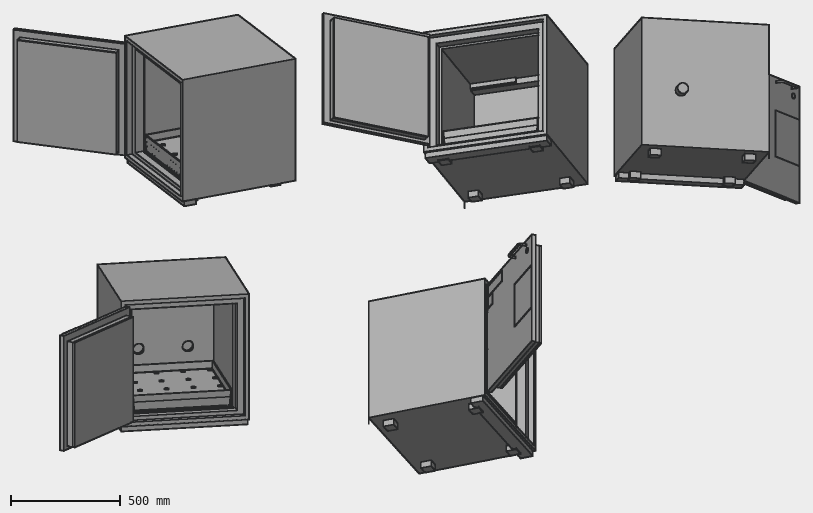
import cadquery as cq
import math

width = 595.0
depth = 575.0
height = 600.0

rebate_inset = 19.0
rebate_depth = 28.0
opening_inset = 51.0
throat_floor = 38.0
throat_end = 71.0
chamber_inset = 62.0
chamber_floor = 45.0
sill_front = 66.0
chamber_back = 532.0

duct_height = 30.0
duct_depth = 51.0
cover_height = 23.0
cover_depth = 10.0
cover_end = 283.0

vent_diameter = 50.0
vent_depth = 20.0
vent_z = 198.0
vent_xs = (183.0, 413.0)

pipe_diameter = 50.0
pipe_length = 45.0
pipe_x = vent_xs[1]
pipe_z = 265.0

foot_size = 50.0
foot_height = 31.0
foot_inset = 77.0
strip_size = 1.0

plinth_side_gap = 4.0
plinth_front = 11.0
plinth_depth = 60.0
plinth_height = 27.0

tub_rim_z = 124.0
tub_rim_inset = 66.0
tub_rim_front = 69.0
tub_rim_back = 528.0
tub_narrowing = 6.0
tub_wall = 5.0
insert_z = 90.0
insert_sheet = 2.0
hole_diameter = 20.0
hole_pitch = 124.0
hole_count_x = 4
hole_count_y = 4
first_hole_x = 508.0
first_hole_y = 128.0

hinge_x = 23.0
hinge_y = -3.0
door_angle = 45
door_length = 537.0
door_plate = 20.0
door_bottom = 27.0
door_top = 575.0
plug_start = 29.0
plug_end = 506.0
plug_bottom = 42.0
plug_top = 543.0
plug_depth = 30.0
panel_thickness = 10.0

label_thickness = 2.0
labels = (
    (11.0, 181.0, 510.0, 564.0),
    (11.0, 67.0, 449.0, 508.0),
    (331.0, 534.0, 200.0, 418.0),
)
lock_diameter = 25.0
lock_along = 482.0
lock_z = 519.0

handle_z = 553.0
handle_diameter = 10.0
handle_start = 339.0
handle_end = 469.0
handle_reach = 34.0
handle_bend = 15.0


def block(x0, x1, y0, y1, z0, z1):
    """A box given by its limits along X, Y and Z."""
    return cq.Workplane("XY").box(x1 - x0, y1 - y0, z1 - z0, centered=False).translate((x0, y0, z0))


def cylinder_along_y(diameter, length, x, y, z):
    """A cylinder that starts at (x, y, z) and runs toward +Y."""
    return cq.Workplane("XZ", origin=(x, y, z)).circle(diameter / 2).extrude(-length)


def make_feet():
    feet = cq.Workplane("XY")
    for x in (foot_inset, width - foot_inset):
        for y in (foot_inset, depth - foot_inset):
            feet = feet.add(cq.Workplane("XY").center(x, y).rect(foot_size, foot_size).extrude(-foot_height))
    return feet.combine()


def make_cabinet():
    body = block(0, width, 0, depth, 0, height)

    body = body.cut(block(rebate_inset, width - rebate_inset, 0, rebate_depth,
                          rebate_inset, height - rebate_inset))
    body = body.cut(block(opening_inset, width - opening_inset, 0, throat_end,
                          throat_floor, height - opening_inset))
    body = body.cut(block(chamber_inset, width - chamber_inset, sill_front, chamber_back,
                          chamber_floor, height - chamber_inset))
    body = body.union(block(chamber_inset, width - chamber_inset, sill_front, throat_end,
                            throat_floor, chamber_floor))

    ceiling = height - chamber_inset
    duct_front = chamber_back - duct_depth
    body = body.union(block(chamber_inset, width - chamber_inset, duct_front, chamber_back,
                            ceiling - duct_height, ceiling))
    body = body.union(block(chamber_inset, cover_end, duct_front - cover_depth, duct_front,
                            ceiling - cover_height, ceiling))

    for x in vent_xs:
        body = body.cut(cylinder_along_y(vent_diameter, vent_depth, x, chamber_back, vent_z))

    body = body.union(cylinder_along_y(pipe_diameter, pipe_length, pipe_x, depth, pipe_z))
    body = body.union(make_feet())
    return body.union(block(0, strip_size, depth - strip_size, depth, -foot_height, 0))


def make_plinth():
    """Plinth bar, notched where the front feet pass through it."""
    bar = block(plinth_side_gap, width - plinth_side_gap, plinth_front, plinth_front + plinth_depth,
                -plinth_height, 0)
    return bar.cut(make_feet())


def tub_section(z, inset):
    """Rectangle of the leaning tub walls at height z, moved inward by inset."""
    lean = tub_narrowing * (tub_rim_z - z) / (tub_rim_z - chamber_floor)
    margin = inset + lean
    x_size = width - 2 * (tub_rim_inset + margin)
    y_size = tub_rim_back - tub_rim_front - 2 * margin
    center = (width / 2, (tub_rim_front + tub_rim_back) / 2, z)
    return cq.Workplane("XY", origin=center).rect(x_size, y_size).wires().val()


def tub_block(z0, z1, inset):
    """Solid between two heights whose sides follow the tub walls."""
    loft = cq.Solid.makeLoft([tub_section(z0, inset), tub_section(z1, inset)], True)
    return cq.Workplane("XY").add(loft)


def make_tub():
    outside = tub_block(chamber_floor, tub_rim_z, 0)
    return outside.cut(tub_block(chamber_floor + tub_wall, tub_rim_z, tub_wall))


def make_insert():
    """Inverted sheet tray that stands on the tub floor, with a grid of holes in its top."""
    base_z = chamber_floor + tub_wall
    tray = tub_block(base_z, insert_z, tub_wall)
    tray = tray.cut(tub_block(base_z, insert_z - insert_sheet, tub_wall + insert_sheet))
    centers = [
        (first_hole_x - i * hole_pitch, first_hole_y + j * hole_pitch)
        for i in range(hole_count_x)
        for j in range(hole_count_y)
    ]
    holes = (
        cq.Workplane("XY", origin=(0, 0, insert_z))
        .pushPoints(centers)
        .circle(hole_diameter / 2)
        .extrude(-insert_sheet)
    )
    return tray.cut(holes)


def hang(part):
    """Move a part from the door frame to its place at the hinge, door open."""
    return part.rotate((0, 0, 0), (0, 0, 1), 180 + door_angle).translate((hinge_x, hinge_y, 0))


def make_door():
    door = block(0, door_length, 0, door_plate, door_bottom, door_top)
    door = door.union(block(plug_start, plug_end, door_plate, door_plate + plug_depth, plug_bottom, plug_top))
    for start, end, bottom, top in labels:
        door = door.union(block(start, end, -label_thickness, 0, bottom, top))
    return door.union(cylinder_along_y(lock_diameter, label_thickness, lock_along, -label_thickness, lock_z))


def make_door_panel():
    """Inner panel that covers the plug."""
    front = door_plate + plug_depth
    return block(plug_start, plug_end, front, front + panel_thickness, plug_bottom, plug_top)


def make_handle():
    """Round bar bent to a U, both ends on the outer face of the door."""
    corner = handle_bend * (1 - math.sqrt(0.5))
    path = (
        cq.Workplane("XY", origin=(0, 0, handle_z))
        .moveTo(handle_start, 0)
        .lineTo(handle_start, handle_bend - handle_reach)
        .threePointArc((handle_start + corner, corner - handle_reach),
                       (handle_start + handle_bend, -handle_reach))
        .lineTo(handle_end - handle_bend, -handle_reach)
        .threePointArc((handle_end - corner, corner - handle_reach),
                       (handle_end, handle_bend - handle_reach))
        .lineTo(handle_end, 0)
    )
    profile = cq.Workplane("XZ", origin=(handle_start, 0, handle_z)).circle(handle_diameter / 2)
    return profile.sweep(path)


cabinet = make_cabinet()
plinth = make_plinth()
tub = make_tub()
insert = make_insert()
door = hang(make_door())
door_panel = hang(make_door_panel())
handle = hang(make_handle())

result = cq.Compound.makeCompound([
    cabinet.val(),
    plinth.val(),
    tub.val(),
    insert.val(),
    door.val(),
    door_panel.val(),
    handle.val(),
])